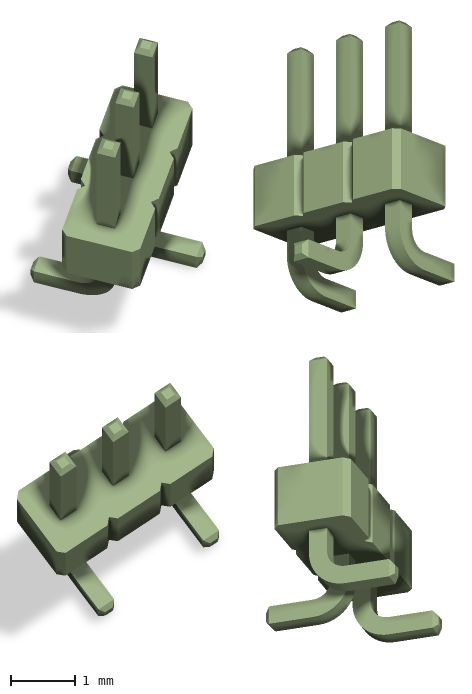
import cadquery as cq

pitch = 1.0
pin_count = 3
total_height = 4.0
foot_reach = 1.25

body_width = 1.27
body_height = 1.0
body_bottom = 1.0
corner_cut = 0.1

pin_size = 0.3
tip_taper = pin_size / 4
inner_bend_radius = pin_size
outer_bend_radius = inner_bend_radius + pin_size


def body_segment(y):
    """One pitch of the body, with all four upright edges chamfered."""
    return (
        cq.Workplane("XY")
        .box(body_width, pitch, body_height, centered=(True, True, False))
        .edges("|Z")
        .chamfer(corner_cut)
        .translate((0, y, body_bottom))
    )


def bent_pin(y, turn):
    """Upright pin whose foot points to -X, turned about Z by the given angle."""
    half = pin_size / 2
    bend_x = -half - inner_bend_radius
    bend_z = outer_bend_radius
    pin = (
        cq.Workplane("XZ")
        .moveTo(half, total_height)
        .lineTo(half, bend_z)
        .radiusArc((bend_x, 0), outer_bend_radius)
        .lineTo(-foot_reach, 0)
        .lineTo(-foot_reach, pin_size)
        .lineTo(bend_x, pin_size)
        .radiusArc((-half, bend_z), -inner_bend_radius)
        .lineTo(-half, total_height)
        .close()
        .extrude(half, both=True)
    )
    pin = pin.faces(">Z or <X").edges().chamfer(tip_taper)
    return pin.rotate((0, 0, 0), (0, 0, 1), turn).translate((0, y, 0))


pin_positions = [(i - (pin_count - 1) / 2) * pitch for i in range(pin_count)]

result = cq.Workplane("XY")
for y in pin_positions:
    result = result.union(body_segment(y))

for i, y in enumerate(pin_positions):
    result = result.union(bent_pin(y, 180 * (i % 2)))